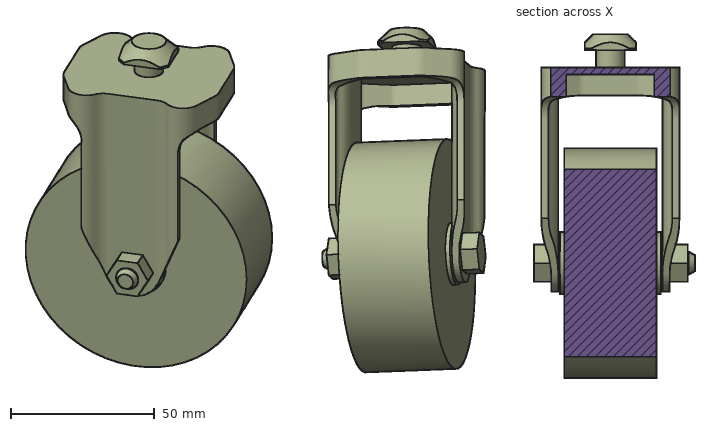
import cadquery as cq
import math

overall_height = 119.6

wheel_diameter = 80.0
wheel_width = 32.0
washer_diameter = 21.6
washer_thickness = 1.5

wall = 2.5
cap_half_length = 28.0
lobe_x = 17.5
lobe_y = 24.0
lobe_radius = 6.5
corner_radius = 6.5
waist_half_length = 8.7
waist_y = 20.6
shoulder_angle = 64.0
skirt_height = 9.8
skirt_arc_radius = 8.0
taper_start_z = 15.7
leg_end_radius = 10.0

hex_flats = 13.0
bolt_diameter = 8.0
bolt_tip_diameter = 5.6
bolt_tip_cone = 2.2
nut_face_y = -26.9
bolt_tip_y = -29.4
head_face_y = 26.5

stud_diameter = 10.0
stud_length = 6.0
stud_head_height = 5.6
stud_head_side = 17.9
stud_head_diameter = 22.0
stud_head_top_diameter = 12.0
stud_head_rim = 0.7

wheel_bottom_z = -wheel_diameter / 2
stud_top_z = wheel_bottom_z + overall_height
stud_head_z = stud_top_z - stud_head_height
fork_top_z = stud_head_z - stud_length
skirt_bottom_z = fork_top_z - skirt_height


def cylinder_y(diameter, y_start, y_end):
    """Cylinder about the Y axis between two Y positions."""
    face = cq.Workplane("XZ", origin=(0, y_start, 0)).circle(diameter / 2)
    return face.extrude(y_start - y_end)


def hexagon_y(y_start, y_end):
    """Hexagonal prism about the Y axis with two corners pointing along X."""
    corner_diameter = hex_flats / math.cos(math.pi / 6)
    face = cq.Workplane("XZ", origin=(0, y_start, 0)).polygon(6, corner_diameter)
    return face.extrude(y_start - y_end)


def arc_point(center, radius, angle):
    """Point on a circle at an angle in radians from the horizontal axis."""
    return (center[0] + radius * math.cos(angle), center[1] + radius * math.sin(angle))


def quarter_outline():
    """Plan outline in the +X +Y quadrant, a chain of tangent arcs and lines."""
    lobe_center = (lobe_x, lobe_y - lobe_radius)
    dx = lobe_x - waist_half_length
    dy = waist_y - lobe_center[1]
    hollow_radius = (dx**2 + dy**2 - lobe_radius**2) / (2 * (lobe_radius - dy))
    hollow_center = (waist_half_length, waist_y + hollow_radius)
    hollow_turn = math.atan2(dx, hollow_center[1] - lobe_center[1])
    straight_down = -math.pi / 2
    straight_up = math.pi / 2

    shoulder_normal = straight_up - math.radians(shoulder_angle)
    shoulder_top = arc_point(lobe_center, lobe_radius, shoulder_normal)
    corner_drop = (cap_half_length - shoulder_top[0]) / math.tan(shoulder_normal)
    corner_y = shoulder_top[1] - corner_drop
    corner_center = (
        cap_half_length - corner_radius,
        corner_y - corner_radius * math.tan(shoulder_normal / 2),
    )
    return (
        cq.Workplane("XY")
        .lineTo(0, waist_y)
        .lineTo(waist_half_length, waist_y)
        .threePointArc(
            arc_point(hollow_center, hollow_radius, straight_down + hollow_turn / 2),
            arc_point(hollow_center, hollow_radius, straight_down + hollow_turn),
        )
        .threePointArc(arc_point(lobe_center, lobe_radius, straight_up), shoulder_top)
        .lineTo(*arc_point(corner_center, corner_radius, shoulder_normal))
        .threePointArc(
            arc_point(corner_center, corner_radius, shoulder_normal / 2),
            arc_point(corner_center, corner_radius, 0),
        )
        .lineTo(cap_half_length, 0)
        .close()
    )


def plan_block():
    """Solid block with the full plan outline, from the leg ends to the fork top."""
    quarter = quarter_outline().extrude(fork_top_z + leg_end_radius)
    half = quarter.union(quarter.mirror("YZ"))
    block = half.union(half.mirror("XZ")).clean()
    return block.translate((0, 0, -leg_end_radius))


def fork_profile():
    """Front silhouette of the fork, extruded through its full depth."""
    taper_distance = math.hypot(lobe_x, taper_start_z)
    taper_normal = math.atan2(taper_start_z, lobe_x) - math.acos(leg_end_radius / taper_distance)
    leg_end_center = (0, 0)
    straight_down = -math.pi / 2
    skirt_arc_center = (lobe_x + skirt_arc_radius, skirt_bottom_z - skirt_arc_radius)
    half = (
        cq.Workplane("XZ")
        .moveTo(0, fork_top_z)
        .lineTo(cap_half_length, fork_top_z)
        .lineTo(cap_half_length, skirt_bottom_z)
        .lineTo(skirt_arc_center[0], skirt_bottom_z)
        .threePointArc(
            arc_point(skirt_arc_center, skirt_arc_radius, math.radians(135)),
            (lobe_x, skirt_arc_center[1]),
        )
        .lineTo(lobe_x, taper_start_z)
        .lineTo(*arc_point(leg_end_center, leg_end_radius, taper_normal))
        .threePointArc(
            arc_point(leg_end_center, leg_end_radius, (taper_normal + straight_down) / 2),
            arc_point(leg_end_center, leg_end_radius, straight_down),
        )
        .close()
        .extrude(lobe_y, both=True)
    )
    return half.union(half.mirror("YZ"))


def fork():
    """Plan block hollowed to an even wall, open below, trimmed to the silhouette."""
    block = plan_block()
    inner_outline = block.faces("<Z").wires().val().offset2D(-wall)
    cavity = (
        cq.Workplane("XY", origin=(0, 0, -leg_end_radius))
        .newObject(inner_outline)
        .toPending()
        .extrude(fork_top_z + leg_end_radius - wall)
    )
    return block.cut(cavity).intersect(fork_profile())


def wheel():
    """Plain wheel with a hub washer on each face."""
    washer_y = wheel_width / 2 + washer_thickness
    tread = cylinder_y(wheel_diameter, -wheel_width / 2, wheel_width / 2)
    return tread.union(cylinder_y(washer_diameter, -washer_y, washer_y))


def axle():
    """Bolt through both legs with its head, nut and tapered tip."""
    cone_y = bolt_tip_y + bolt_tip_cone
    shank = cylinder_y(bolt_diameter, cone_y, waist_y)
    tip = (
        cq.Workplane("XZ", origin=(0, cone_y, 0))
        .circle(bolt_diameter / 2)
        .workplane(offset=bolt_tip_cone)
        .circle(bolt_tip_diameter / 2)
        .loft()
    )
    nut = hexagon_y(nut_face_y, -waist_y)
    head = hexagon_y(waist_y, head_face_y)
    return shank.union(tip).union(nut).union(head)


def stud():
    """Round stud with a square head turned to a cone."""
    neck = (
        cq.Workplane("XY", origin=(0, 0, fork_top_z - wall))
        .circle(stud_diameter / 2)
        .extrude(stud_length + wall)
    )
    cone = (
        cq.Workplane("XZ")
        .moveTo(0, stud_head_z)
        .lineTo(stud_head_diameter / 2, stud_head_z)
        .lineTo(stud_head_diameter / 2, stud_head_z + stud_head_rim)
        .lineTo(stud_head_top_diameter / 2, stud_top_z)
        .lineTo(0, stud_top_z)
        .close()
        .revolve(360, (0, 0), (0, 1))
    )
    square = (
        cq.Workplane("XY", origin=(0, 0, stud_head_z))
        .rect(stud_head_side, stud_head_side)
        .extrude(stud_head_height)
    )
    return neck.union(cone.intersect(square))


result = fork().union(wheel()).union(axle()).union(stud())